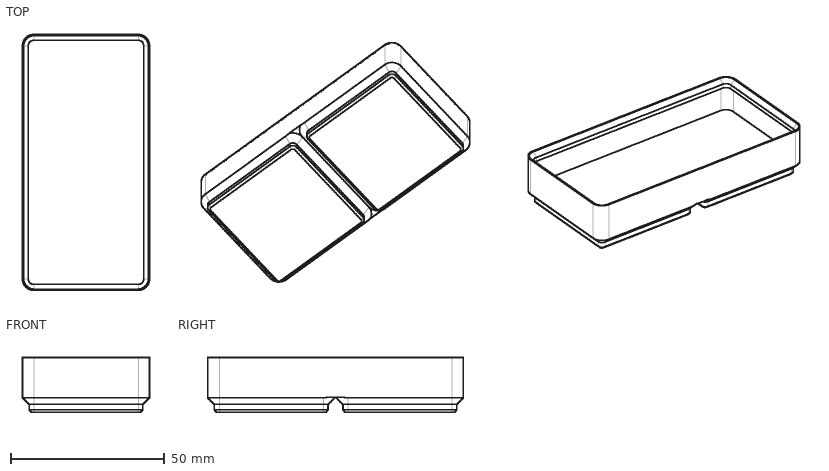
import cadquery as cq

body_width = 41.5
body_length = 83.5
total_height = 18.0
corner_radius = 3.75

cell_pitch = 42.0
cell_count = 2
foot_bottom_taper = 0.8
foot_straight_height = 1.8
foot_top_taper = 2.4
foot_height = foot_bottom_taper + foot_straight_height + foot_top_taper

cell_clearance = (cell_pitch - body_width) / 2
foot_side = cell_pitch - 2 * foot_top_taper
foot_corner_radius = corner_radius + cell_clearance - foot_top_taper
foot_taper_angle = 45

floor_thickness = 1.0
floor_top = foot_height + floor_thickness
wall_thickness = 1.0
cavity_corner_radius = 2.95

rim_width = 0.4
flare_height = 1.5
throat_height = 1.5
throat_inset = rim_width + flare_height
throat_top = total_height - flare_height
throat_bottom = throat_top - throat_height


def rounded_outline(inset, radius, z):
    """Body outline moved inward by `inset`, with corners of `radius`, at height z."""
    return (
        cq.Sketch()
        .rect(body_width - 2 * inset, body_length - 2 * inset)
        .vertices()
        .fillet(radius)
        .moved(cq.Location(cq.Vector(0, 0, z)))
    )


def straight_block(inset, radius, bottom, top):
    return cq.Workplane("XY").placeSketch(rounded_outline(inset, radius, bottom)).extrude(top - bottom)


def make_foot(center_y):
    """Stepped foot: short taper, straight band, then a taper out to the full cell."""
    band = (
        cq.Workplane("XY", origin=(0, center_y, foot_bottom_taper))
        .rect(foot_side, foot_side)
        .extrude(foot_straight_height)
        .edges("|Z")
        .fillet(foot_corner_radius)
    )
    bottom_outline = band.faces("<Z").wires().toPending().workplane()
    bottom_taper = bottom_outline.extrude(foot_bottom_taper, taper=foot_taper_angle, combine=False)
    top_outline = band.faces(">Z").wires().toPending().workplane()
    top_taper = top_outline.extrude(foot_top_taper, taper=-foot_taper_angle, combine=False)
    return band.union(bottom_taper).union(top_taper)


def make_feet():
    """Row of feet centred on the body and trimmed to its outline."""
    feet = cq.Workplane("XY")
    for index in range(cell_count):
        center_y = (index - (cell_count - 1) / 2) * cell_pitch
        feet = feet.add(make_foot(center_y))
    return straight_block(0, corner_radius, 0, foot_height).intersect(feet.combine())


def make_cavity():
    """Straight-walled pocket reaching up to the underside of the lip."""
    return straight_block(wall_thickness, cavity_corner_radius, floor_top, throat_bottom)


def make_lip_opening():
    """Narrower throat through the lip, flaring out to a thin rim at the top."""
    throat_radius = corner_radius - throat_inset
    throat = straight_block(throat_inset, throat_radius, throat_bottom, throat_top)
    flare_start = rounded_outline(throat_inset, throat_radius, throat_top)
    flare_end = rounded_outline(rim_width, corner_radius - rim_width, total_height)
    flare = cq.Workplane("XY").placeSketch(flare_start, flare_end).loft()
    return throat.union(flare)


body = straight_block(0, corner_radius, foot_height, total_height).union(make_feet())
result = body.cut(make_cavity()).cut(make_lip_opening()).solids()